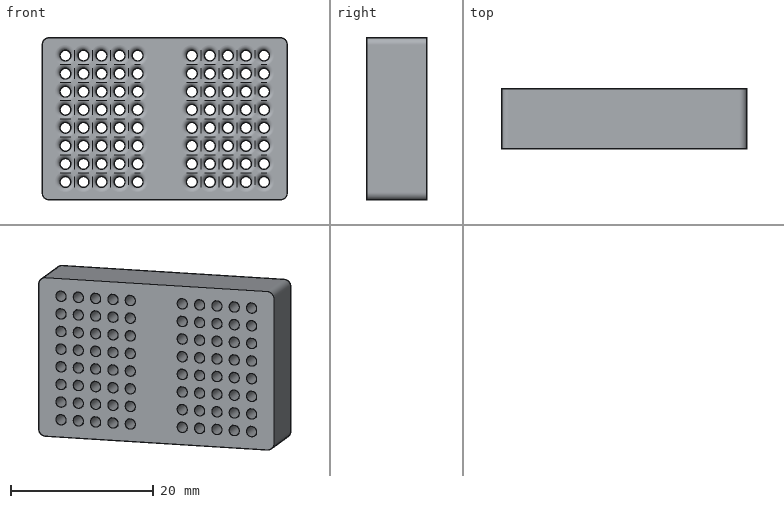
import cadquery as cq

LENGTH = 34.5
THICKNESS = 8.5
HEIGHT = 22.85
CORNER_RADIUS = 1.0

COLUMNS = 12
ROWS = 8
SOLID_COLUMNS = (5, 6)
GRID_WIDTH = 27.95
PITCH = GRID_WIDTH / (COLUMNS - 1)
HOLE_DIAMETER = 1.5
MOUTH_DIAMETER = 2.9

HOLE_RADIUS = HOLE_DIAMETER / 2
MOUTH_RADIUS = MOUTH_DIAMETER / 2
FLARE_RADIUS = MOUTH_RADIUS - HOLE_RADIUS
FRONT_Y = -THICKNESS / 2
BACK_Y = THICKNESS / 2


def make_block():
    """Centred block with the four edges along Y rounded."""
    block = cq.Workplane("XY").box(LENGTH, THICKNESS, HEIGHT)
    return block.edges("|Y").fillet(CORNER_RADIUS)


def make_hole_cutter():
    """Through hole along Y whose front mouth flares out in a convex quarter round."""
    flare_end_y = FRONT_Y + FLARE_RADIUS
    profile = (
        cq.Workplane("XY")
        .moveTo(0, FRONT_Y)
        .lineTo(MOUTH_RADIUS, FRONT_Y)
        .radiusArc((HOLE_RADIUS, flare_end_y), FLARE_RADIUS)
        .lineTo(HOLE_RADIUS, BACK_Y)
        .lineTo(0, BACK_Y)
        .close()
    )
    return profile.revolve(360, (0, 0, 0), (0, 1, 0)).val()


def hole_positions():
    """Centres of the holes in the XZ plane, grid centred on the block."""
    positions = []
    for column in range(COLUMNS):
        if column in SOLID_COLUMNS:
            continue
        for row in range(ROWS):
            x = (column - (COLUMNS - 1) / 2) * PITCH
            z = (row - (ROWS - 1) / 2) * PITCH
            positions.append((x, z))
    return positions


hole_cutter = make_hole_cutter()
cutters = [hole_cutter.translate(cq.Vector(x, 0, z)) for x, z in hole_positions()]
result = cq.Workplane("XY").newObject([make_block().val().cut(*cutters)])